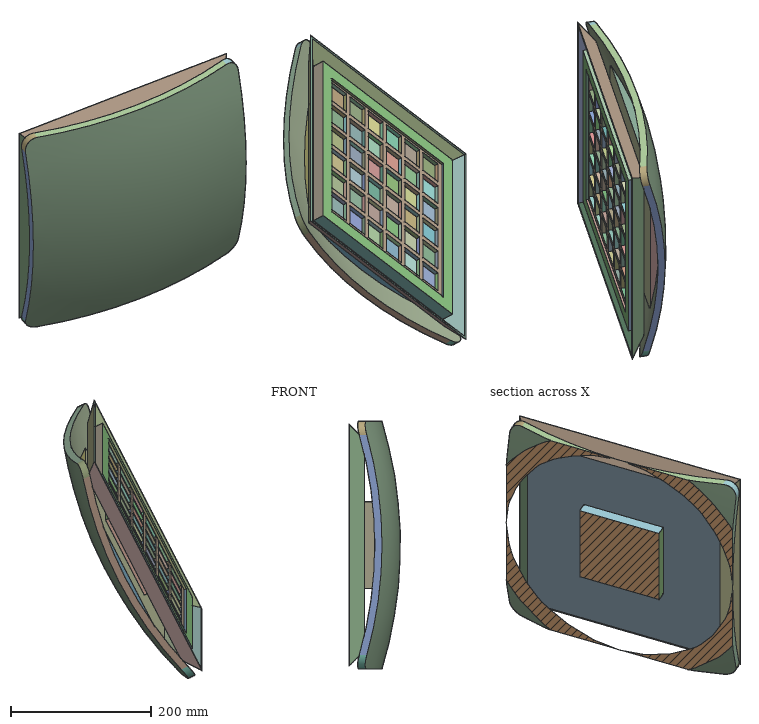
import cadquery as cq

frame_depth = 22.0
rim_half = 172.5
rim_width = 4.0
floor_depth = 19.0
floor_half = 145.0

panel_half = 143.5
panel_front = 1.0

recess_half = 124.0
recess_depth = 3.5
pocket_count = 6
pocket_size = 33.0
pocket_pitch = 40.5
pocket_depth = 6.0
pocket_margin = 4.0

cover_half = 177.0
cover_corner_radius = 20.0
cover_thickness = 10.0
dome_top = 73.4
dome_radius = 605.0

pad_half = 127.0
pad_front = 37.0
post_half = 62.0


def square_prism(half, x_start, x_end):
    """Square bar along X, centred on the X axis."""
    section = cq.Workplane("YZ").workplane(offset=x_start).rect(2 * half, 2 * half)
    return section.extrude(x_end - x_start)


def square_frustum(front_half, back_half, depth):
    """Square frustum from X = 0 to X = depth."""
    return (
        cq.Workplane("YZ")
        .rect(2 * front_half, 2 * front_half)
        .workplane(offset=depth)
        .rect(2 * back_half, 2 * back_half)
        .loft(ruled=True)
    )


def make_frame():
    outside = square_frustum(rim_half, rim_half - frame_depth, frame_depth)
    inside = square_frustum(rim_half - rim_width, floor_half, floor_depth)
    return outside.cut(inside)


def make_panel():
    panel = square_prism(panel_half, panel_front, frame_depth)
    recess_floor = panel_front + recess_depth
    panel = panel.cut(square_prism(recess_half, panel_front, recess_floor))

    first_center = recess_half - pocket_margin - pocket_size / 2
    centers = [first_center - i * pocket_pitch for i in range(pocket_count)]
    pockets = (
        cq.Workplane("YZ")
        .workplane(offset=recess_floor)
        .pushPoints([(y, z) for y in centers for z in centers])
        .rect(pocket_size, pocket_size)
        .extrude(pocket_depth)
    )
    return panel.cut(pockets)


def ball(radius):
    """Ball concentric with the dome."""
    return cq.Workplane("XY").sphere(radius).translate((dome_top - dome_radius, 0, 0))


def make_cover():
    blank = square_prism(cover_half, 0, dome_top).edges("|X").fillet(cover_corner_radius)
    return blank.intersect(ball(dome_radius)).cut(ball(dome_radius - cover_thickness))


def make_mount():
    """Post and pad, shaped by the dome and ending halfway through its thickness."""
    post = square_prism(post_half, frame_depth, pad_front)
    pad = square_prism(pad_half, pad_front, dome_top)
    return post.union(pad.intersect(ball(dome_radius - cover_thickness / 2)))


result = make_frame().union(make_panel()).union(make_mount()).union(make_cover())